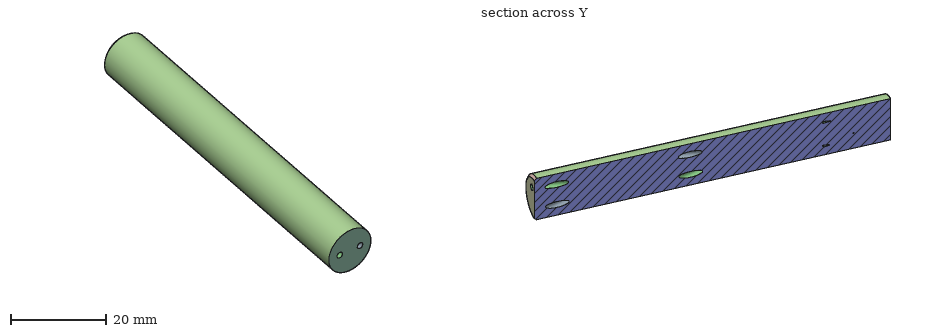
import cadquery as cq
import math

rod_length = 80.0
rod_diameter = 11.0
chamfer_size = 0.05 * rod_diameter

channel_diameter = 1.4
channel_pitch_circle = 5.3
channel_path_radius = channel_pitch_circle / 2
channel_count = 2
helix_angle = 30.0
helix_lead = math.pi * rod_diameter / math.tan(math.radians(helix_angle))
channel_overrun = channel_diameter


def make_rod():
    """Cylinder starting at X = 0, chamfered on that end only."""
    rod = cq.Workplane("YZ").circle(rod_diameter / 2).extrude(rod_length)
    return rod.faces("<X").chamfer(chamfer_size)


def make_channel():
    """Right-hand helical channel that starts on the +Y side at X = -channel_overrun."""
    path_length = rod_length + 2 * channel_overrun
    path = cq.Wire.makeHelix(helix_lead, path_length, channel_path_radius)
    tangent = cq.Vector(0, 2 * math.pi * channel_path_radius, helix_lead)
    section_plane = cq.Plane(origin=(channel_path_radius, 0, 0), xDir=(1, 0, 0), normal=tangent)
    channel = cq.Workplane(section_plane).circle(channel_diameter / 2).sweep(path, isFrenet=True)
    channel = channel.rotate((0, 0, 0), (1, 1, 1), 120)
    return channel.translate((-channel_overrun, 0, 0))


def make_channels():
    """Equally spaced channels, turned so the first leaves the plain end on the +Y side."""
    turn_to_plain_end = 360.0 * (channel_overrun + rod_length) / helix_lead
    channels = []
    for index in range(channel_count):
        turn = index * 360.0 / channel_count - turn_to_plain_end
        channels.append(make_channel().rotate((0, 0, 0), (1, 0, 0), turn))
    return channels


result = make_rod()
for channel in make_channels():
    result = result.cut(channel)